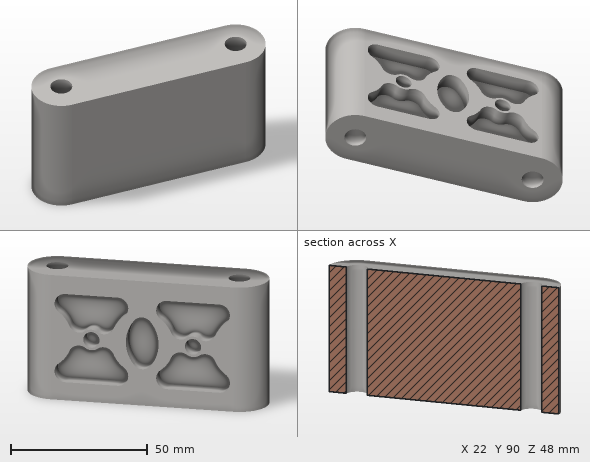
import cadquery as cq
import math

length = 90.0
width = 22.0
height = 48.0
bore_diameter = 8.0
bore_offset = (length - width) / 2

recess_depth = 6.0
group_offset = 19.0
pin_hole_diameter = 6.0
oval_half_width = 6.1
oval_half_height = 10.0

pocket_top = 17.0
pocket_half_width = 13.8
round_radius = 4.0
lobe_offset = 4.6
flank_radius = 12.0


def toward(start, target, distance):
    """Point at the given distance from start, in the direction of target."""
    angle = math.atan2(target[1] - start[1], target[0] - start[0])
    return (start[0] + distance * math.cos(angle), start[1] + distance * math.sin(angle))


def mirrored(point):
    return (-point[0], point[1])


def face_plane():
    """Plane on the -X face: local x runs along -Y, local y along Z, normal points out."""
    return cq.Workplane(cq.Plane(origin=(-width / 2, 0, 0), xDir=(0, -1, 0), normal=(-1, 0, 0)))


def pocket_outline(center, side):
    """Winged pocket above (side=1) or below (side=-1) a pin hole."""
    corner = (pocket_half_width - round_radius, pocket_top - round_radius)
    lobe = (lobe_offset, math.sqrt((2 * round_radius) ** 2 - lobe_offset**2))

    halfway = ((corner[0] + lobe[0]) / 2, (corner[1] + lobe[1]) / 2)
    half_gap = math.dist(corner, lobe) / 2
    flank_distance = math.sqrt((flank_radius + round_radius) ** 2 - half_gap**2)
    beside_halfway = (halfway[0] + corner[1] - lobe[1], halfway[1] - corner[0] + lobe[0])
    flank = toward(halfway, beside_halfway, flank_distance)

    corner_top = (corner[0], pocket_top)
    corner_mid = (pocket_half_width, corner[1])
    corner_end = toward(corner, flank, round_radius)
    lobe_start = toward(lobe, flank, round_radius)
    flank_mid = toward(flank, halfway, flank_radius)
    lobe_mid = (lobe[0], lobe[1] - round_radius)
    lobe_end = (lobe[0] / 2, lobe[1] / 2)
    hub_mid = (0, round_radius)

    def place(point):
        return (center + point[0], side * point[1])

    def place_left(point):
        return place(mirrored(point))

    return (
        face_plane()
        .moveTo(*place(corner_top))
        .threePointArc(place(corner_mid), place(corner_end))
        .threePointArc(place(flank_mid), place(lobe_start))
        .threePointArc(place(lobe_mid), place(lobe_end))
        .threePointArc(place(hub_mid), place_left(lobe_end))
        .threePointArc(place_left(lobe_mid), place_left(lobe_start))
        .threePointArc(place_left(flank_mid), place_left(corner_end))
        .threePointArc(place_left(corner_mid), place_left(corner_top))
        .close()
    )


def oval_outline():
    """Upright oval: two shallow side arcs blended into a round at each end."""
    end_center = (0, oval_half_height - round_radius)
    end_inset = oval_half_width - round_radius
    side_center = ((end_center[1] ** 2 - end_inset**2) / (2 * end_inset), 0)
    seam_x, seam_z = toward(end_center, side_center, -round_radius)
    return (
        face_plane()
        .moveTo(seam_x, seam_z)
        .threePointArc((0, oval_half_height), (-seam_x, seam_z))
        .threePointArc((oval_half_width, 0), (-seam_x, -seam_z))
        .threePointArc((0, -oval_half_height), (seam_x, -seam_z))
        .threePointArc((-oval_half_width, 0), (seam_x, seam_z))
        .close()
    )


result = cq.Workplane("XY").slot2D(length, width, 90).extrude(height / 2, both=True)
bores = (
    cq.Workplane("XY")
    .pushPoints([(0, -bore_offset), (0, bore_offset)])
    .circle(bore_diameter / 2)
    .extrude(height, both=True)
)
result = result.cut(bores)

result = result.cut(oval_outline().extrude(-recess_depth))

for group_center in (-group_offset, group_offset):
    pin_hole = face_plane().center(group_center, 0).circle(pin_hole_diameter / 2).extrude(-recess_depth)
    result = result.cut(pin_hole)
    for pocket_side in (-1, 1):
        result = result.cut(pocket_outline(group_center, pocket_side).extrude(-recess_depth))